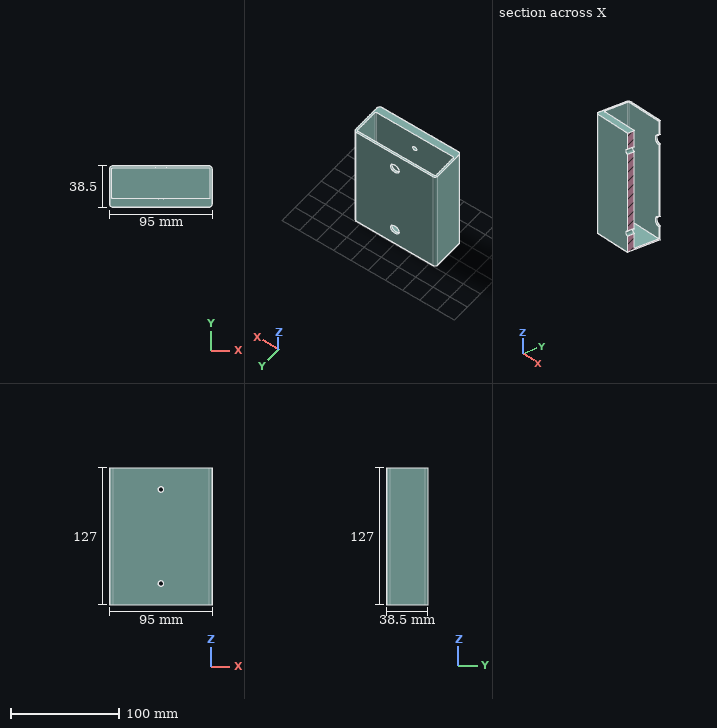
import cadquery as cq

width = 95.0
depth = 38.5
height = 127.0
outer_corner_radius = 3.0

thin_wall = 2.0
mounting_wall = 8.0
floor_thickness = 2.0
pocket_corner_radius = 1.0

screw_hole_diameter = 4.8
access_hole_diameter = 10.0
screw_spacing = 87.0
lower_screw_height = 20.0
screw_heights = (lower_screw_height, lower_screw_height + screw_spacing)

pocket_width = width - 2 * thin_wall
pocket_depth = depth - mounting_wall - thin_wall
pocket_center_y = (mounting_wall - thin_wall) / 2


def rounded_block(block_width, block_depth, block_height, corner_radius):
    """Upright block centred on Z, standing on Z = 0, with rounded vertical edges."""
    block = cq.Workplane("XY").box(block_width, block_depth, block_height, centered=(True, True, False))
    return block.edges("|Z").fillet(corner_radius)


def hole_along_y(diameter, start_y, length, center_z):
    """Cylinder running in +Y from start_y, on the part's middle plane."""
    start = cq.Vector(0, start_y, center_z)
    return cq.Solid.makeCylinder(diameter / 2, length, start, cq.Vector(0, 1, 0))


def make_holder():
    body = rounded_block(width, depth, height, outer_corner_radius)
    pocket = rounded_block(pocket_width, pocket_depth, height - floor_thickness, pocket_corner_radius)
    body = body.cut(pocket.translate((0, pocket_center_y, floor_thickness)))
    for center_z in screw_heights:
        body = body.cut(hole_along_y(screw_hole_diameter, -depth / 2, depth, center_z))
        body = body.cut(hole_along_y(access_hole_diameter, pocket_center_y, depth, center_z))
    return body


result = make_holder()